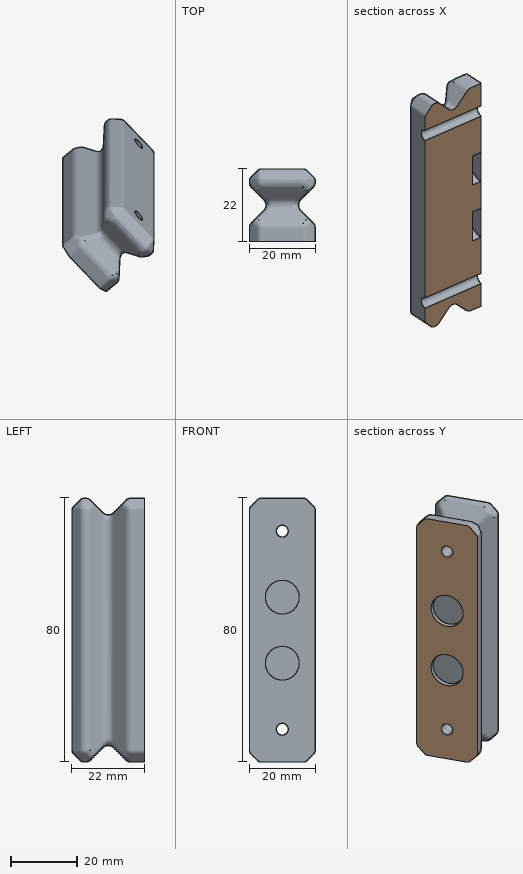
import cadquery as cq

width = 20.0
depth = 22.0
length = 80.0

groove_depth = width / 4
groove_floor = 2.0
groove_mouth = groove_floor + 2 * groove_depth
neck_width = width - 2 * groove_depth
neck_length = length - 2 * groove_depth

floor_low = (depth - groove_floor) / 2
floor_high = (depth + groove_floor) / 2
mouth_low = (depth - groove_mouth) / 2
mouth_high = (depth + groove_mouth) / 2

groove_radius = 2.0
corner_chamfer = 1.5 * groove_radius
chamfer_radius = corner_chamfer / 2

hole_diameter = 3.5
hole_inset = 10.0

cavity_diameter = 10.2
cavity_spacing = 20.0
cavity_skin = 0.2
cavity_depth = 3.0

margin = 0.1


def block(size_x, size_z, y_start, y_end):
    """Box centred on X and Z between two Y levels."""
    size_y = y_end - y_start
    return cq.Workplane("XY").box(size_x, size_y, size_z).translate((0, y_start + size_y / 2, 0))


def flank(y_mouth, y_floor):
    """Frustum that shrinks from the block outline to the neck outline."""
    return (
        cq.Workplane("XZ", origin=(0, y_mouth, 0))
        .rect(width, length)
        .workplane(offset=y_mouth - y_floor)
        .rect(neck_width, neck_length)
        .loft(ruled=True)
    )


def cylinder(diameter, z, y_start, y_end):
    """Cylinder along Y, centred on the width of the part."""
    return cq.Workplane("XZ", origin=(0, y_start, z)).circle(diameter / 2).extrude(y_start - y_end)


def between_levels(y_start, y_end):
    """Selector for the edges whose centre lies between two Y levels."""
    return cq.selectors.BoxSelector((-width, y_start, -length), (width, y_end, length))


chamfered_block = block(width, length, 0, depth).edges("|Y or >Y").chamfer(corner_chamfer)

spool = (
    block(width, length, 0, mouth_low)
    .union(flank(mouth_low, floor_low))
    .union(block(neck_width, neck_length, floor_low, floor_high))
    .union(flank(mouth_high, floor_high))
    .union(block(width, length, mouth_high, depth))
)
body = spool.intersect(chamfered_block)

base_edges = between_levels(margin, mouth_low - margin)
head_edges = between_levels(mouth_high + margin, depth + margin)
groove_edges = between_levels(mouth_low - margin, mouth_high + margin)
body = body.edges(base_edges + head_edges).fillet(chamfer_radius)
body = body.edges(groove_edges).fillet(groove_radius)

for side in (-1, 1):
    hole_z = side * (length / 2 - hole_inset)
    cavity_z = side * cavity_spacing / 2
    body = body.cut(cylinder(hole_diameter, hole_z, 0, depth))
    body = body.cut(cylinder(cavity_diameter, cavity_z, cavity_skin, cavity_skin + cavity_depth))

result = body.solids()